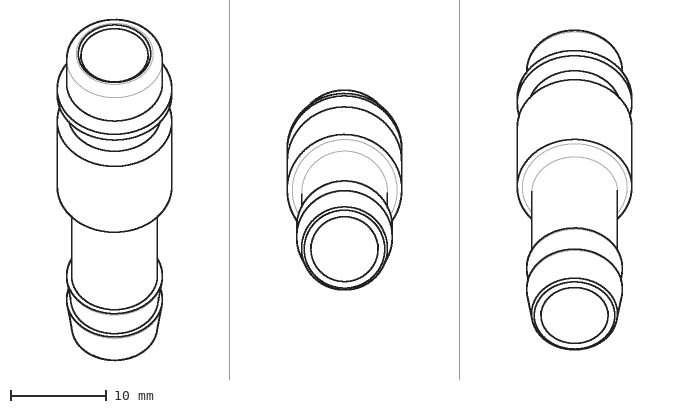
import cadquery as cq
import math

length = 47.0
body_radius = 12.0 / 2
bore_radius = 7.0 / 2

nose_radius = 10.0 / 2
nose_fillet = 1.0
bore_chamfer = 0.3
collar_rim_top = 41.0
collar_rim_bottom = 40.0
collar_bevel_top = collar_rim_top + body_radius - nose_radius
neck_radius = 9.75 / 2
neck_top = collar_rim_bottom - (body_radius - neck_radius)
undercut_sag = 0.2

body_top = 35.5
shoulder_height = body_radius - neck_radius
body_bottom = 24.2
stem_radius = 9.0 / 2
stem_fillet = 1.0

barb_radius = 10.0 / 2
barb_land = 0.2
lower_barb_top = 5.0
upper_barb_top = 9.0
tip_edge = 0.3
taper_per_height = (barb_radius - stem_radius) / (lower_barb_top - barb_land - tip_edge)
upper_barb_root = barb_radius - taper_per_height * (upper_barb_top - barb_land - lower_barb_top)

diagonal = math.sqrt(0.5)
stem_arc_middle = (
    stem_radius + stem_fillet * (1 - diagonal),
    body_bottom - stem_fillet * (1 - diagonal),
)
undercut_middle = (
    (body_radius + neck_radius) / 2 - undercut_sag * diagonal,
    (collar_rim_bottom + neck_top) / 2 + undercut_sag * diagonal,
)
nose_arc_middle = (
    nose_radius - nose_fillet * (1 - diagonal),
    length - nose_fillet * (1 - diagonal),
)

section = (
    cq.Workplane("XZ")
    .moveTo(bore_radius, 0)
    .lineTo(stem_radius - tip_edge, 0)
    .lineTo(stem_radius, tip_edge)
    .lineTo(barb_radius, lower_barb_top - barb_land)
    .lineTo(barb_radius, lower_barb_top)
    .lineTo(upper_barb_root, lower_barb_top)
    .lineTo(barb_radius, upper_barb_top - barb_land)
    .lineTo(barb_radius, upper_barb_top)
    .lineTo(stem_radius, upper_barb_top)
    .lineTo(stem_radius, body_bottom - stem_fillet)
    .threePointArc(stem_arc_middle, (stem_radius + stem_fillet, body_bottom))
    .lineTo(body_radius, body_bottom)
    .lineTo(body_radius, body_top)
    .lineTo(neck_radius, body_top + shoulder_height)
    .lineTo(neck_radius, neck_top)
    .threePointArc(undercut_middle, (body_radius, collar_rim_bottom))
    .lineTo(body_radius, collar_rim_top)
    .lineTo(nose_radius, collar_bevel_top)
    .lineTo(nose_radius, length - nose_fillet)
    .threePointArc(nose_arc_middle, (nose_radius - nose_fillet, length))
    .lineTo(bore_radius + bore_chamfer, length)
    .lineTo(bore_radius, length - bore_chamfer)
    .close()
)

result = section.revolve(360, (0, 0, 0), (0, 1, 0))